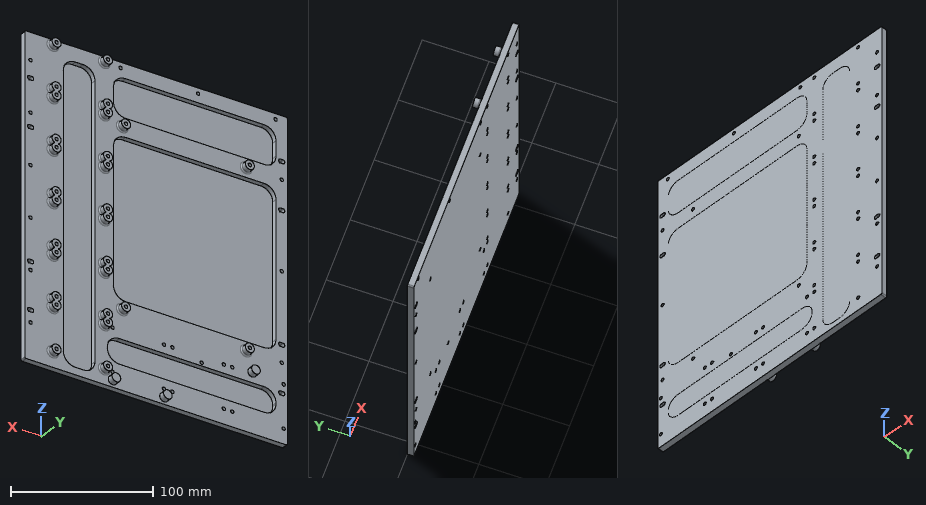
import cadquery as cq
import math

plate_width = 220.0
plate_height = 269.2
total_depth = 10.0
plate_thickness = total_depth / 2
plate_corner_radius = 1.0

cell_pitch_x = 50.0
cell_pitch_z = 43.0
cell_screw_span_x = 43.0
cell_screw_span_z = 36.3
first_screw_x = 3.2
first_screw_z = 12.7
column_count = 4
row_count = 6
right_column = column_count - 1

screw_hole_diameter = 2.7
flared_standoff_diameter = 7.5
plain_standoff_diameter = 7.3
standoff_height = total_depth - plate_thickness
root_fillet_radius = 1.0

edge_inset = 4.8
slot_length = 5.0
slot_height = 3.2
slot_heights = (41.2, 81.0, 191.5, 231.5)
left_screw_first_z = 66.2
left_screw_pitch = 75.0
left_screw_count = 3

top_screw_first_x = 10.0
top_screw_pitch = 64.9
top_screw_count = 3
top_screw_z = first_screw_z + (row_count - 1) * cell_pitch_z + cell_screw_span_z

board_screw_left_x = 34.7
board_screw_right_x = 138.3
single_screw = (71.9, 44.5)

left_standoff = (29.5, 50.0)
lower_standoff_z = 5.7
lower_standoff_column = right_column - 1
lower_standoff_left_x = first_screw_x + lower_standoff_column * cell_pitch_x
lower_standoff_right_x = lower_standoff_left_x + cell_screw_span_x
plain_standoffs = (
    left_standoff,
    (lower_standoff_left_x, lower_standoff_z),
    (lower_standoff_right_x, lower_standoff_z),
)

pocket_skin = 0.78
pocket_corner_radius = 10.0
pocket_left = 9.7
pocket_right = 145.5
pockets = (
    (pocket_left, pocket_right, 224.2, 256.8),
    (pocket_left, pocket_right, 73.7, 208.5),
    (pocket_left, 150.7, 20.7, 41.7),
    (161.2, 187.5, 6.2, 256.8),
)


def front_sketch(points):
    """Workplane on the front face facing the back, with the given (X, Z) points on its stack."""
    plane = cq.Plane(origin=(0, 0, 0), xDir=(-1, 0, 0), normal=(0, 1, 0))
    return cq.Workplane(plane).pushPoints([(-x, z) for x, z in points])


def rounded_block(left, bottom, front, width, height, depth, corner_radius):
    """Block with its four Y-direction edges rounded."""
    block = cq.Workplane("XY").box(width, depth, height, centered=False)
    return block.edges("|Y").fillet(corner_radius).translate((left, front, bottom))


def cell_screws(column, row):
    """The four screw positions of one module cell."""
    x = first_screw_x + column * cell_pitch_x
    z = first_screw_z + row * cell_pitch_z
    return [(x + dx, z + dz) for dx in (0, cell_screw_span_x) for dz in (0, cell_screw_span_z)]


def plain_standoff():
    """Straight round post growing along +Y from the origin."""
    radius = plain_standoff_diameter / 2
    return cq.Solid.makeCylinder(radius, standoff_height, cq.Vector(0, 0, 0), cq.Vector(0, 1, 0))


def flared_standoff():
    """Round post growing along +Y from the origin, with a concave fillet at its root."""
    radius = flared_standoff_diameter / 2
    arc_offset = root_fillet_radius * (1 - math.sqrt(0.5))
    post = (
        cq.Workplane("XY")
        .lineTo(radius + root_fillet_radius, 0)
        .threePointArc((radius + arc_offset, arc_offset), (radius, root_fillet_radius))
        .lineTo(radius, standoff_height)
        .lineTo(0, standoff_height)
        .close()
        .revolve(360, (0, 0, 0), (0, 1, 0))
    )
    return post.val()


def add_standoffs(body, post, points):
    """Join a copy of the post to the back of the plate at each (X, Z) point."""
    for x, z in points:
        body = body.union(cq.Workplane(post.translate(cq.Vector(x, plate_thickness, z))))
    return body


right_column_screws = [p for row in range(row_count) for p in cell_screws(right_column, row)]
bottom_row_screws = [p for column in range(right_column) for p in cell_screws(column, 0)]
left_screw_heights = [left_screw_first_z + i * left_screw_pitch for i in range(left_screw_count)]
left_edge_screws = [(edge_inset, z) for z in left_screw_heights]
first_cell_middle_z = first_screw_z + cell_screw_span_z / 2
right_edge_screws = [
    (plate_width - edge_inset, first_cell_middle_z + row * cell_pitch_z) for row in range(row_count)
]
top_edge_screws = [(top_screw_first_x + i * top_screw_pitch, top_screw_z) for i in range(top_screw_count)]
board_screws = [
    (x, z)
    for x in (board_screw_left_x, board_screw_right_x)
    for z in (left_screw_heights[0], left_screw_heights[-1])
]
screws = right_column_screws + bottom_row_screws + left_edge_screws + right_edge_screws
screws += top_edge_screws + board_screws + [single_screw]

result = rounded_block(0, 0, 0, plate_width, plate_height, plate_thickness, plate_corner_radius)
pocket_depth = plate_thickness - pocket_skin
for left, right, bottom, top in pockets:
    width = right - left
    height = top - bottom
    pocket = rounded_block(left, bottom, pocket_skin, width, height, pocket_depth, pocket_corner_radius)
    result = result.cut(pocket)

result = add_standoffs(result, flared_standoff(), right_column_screws + board_screws)
result = add_standoffs(result, plain_standoff(), plain_standoffs)

result = result.cut(front_sketch(screws).circle(screw_hole_diameter / 2).extrude(total_depth))

slots = [(x, z) for x in (edge_inset, plate_width - edge_inset) for z in slot_heights]
result = result.cut(front_sketch(slots).slot2D(slot_length, slot_height).extrude(plate_thickness))